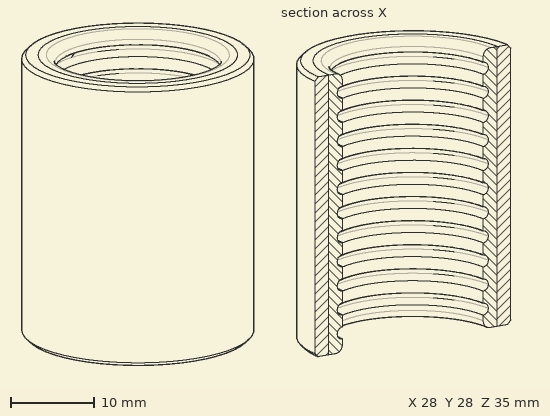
import cadquery as cq

length = 35.0
outer_radius = 14.0
edge_chamfer = 0.5

liner_radius = 12.0
bore_radius = 10.0
mouth_radius = 1.0

groove_count = 11
groove_pitch = 3.0
groove_radius = 0.75


def make_sleeve():
    """Plain outer tube with chamfered outside edges."""
    body = cq.Workplane("XY").circle(outer_radius).extrude(length)
    body = body.faces("<Z or >Z").edges().chamfer(edge_chamfer)
    bore = cq.Workplane("XY").circle(liner_radius).extrude(length)
    return body.cut(bore)


def make_groove(height):
    """Ring whose round section is centred on the bore wall at the given height."""
    return cq.Workplane("XY").add(
        cq.Solid.makeTorus(bore_radius, groove_radius, cq.Vector(0, 0, height))
    )


def make_liner():
    """Inner tube with rounded bore mouths and half-round ring grooves."""
    tube = cq.Workplane("XY").circle(liner_radius).circle(bore_radius).extrude(length)
    liner = tube.faces("<Z or >Z").edges(cq.selectors.RadiusNthSelector(0)).fillet(mouth_radius)
    first_groove = (length - (groove_count - 1) * groove_pitch) / 2
    for index in range(groove_count):
        liner = liner.cut(make_groove(first_groove + index * groove_pitch))
    return liner


sleeve = make_sleeve()
liner = make_liner()

result = cq.Compound.makeCompound([sleeve.val(), liner.val()])